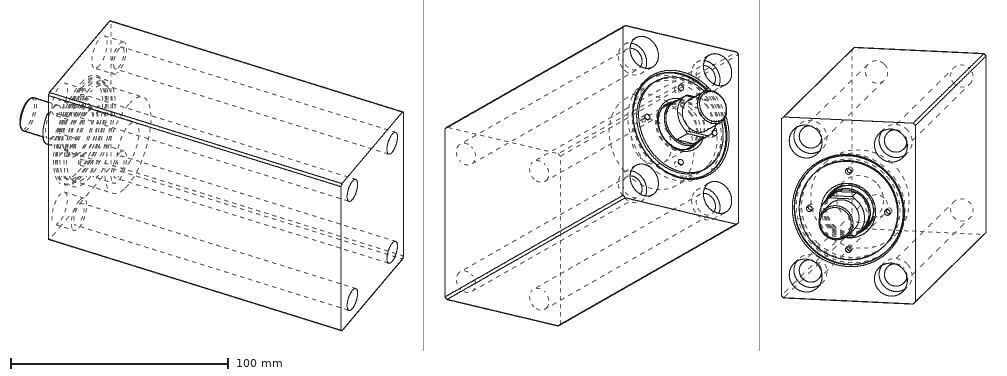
import cadquery as cq
import math

OVERALL_LENGTH = 178.0
BLOCK_WIDTH = 63.0
BLOCK_HEIGHT = 85.0
EDGE_CHAMFER = 1.0

BOLT_SPACING_Y = 40.0
BOLT_SPACING_Z = 63.0
BOLT_HOLE_DIAMETER = 10.5
COUNTERBORE_DIAMETER = 15.5
COUNTERBORE_DEPTH = 10.0

BORE_DIAMETER = 51.3
BORE_CHAMFER = 0.7
GLAND_DIAMETER = 46.3
GLAND_LENGTH = 25.0
RING_RECESS = 1.6
RING_THICKNESS = 3.5

GLAND_ENTRY_DIAMETER = 25.6
GLAND_RELIEF_DIAMETER = 23.1
GLAND_RELIEF_DEPTH = 3.5
GLAND_ENTRY_CHAMFER = (GLAND_ENTRY_DIAMETER - GLAND_RELIEF_DIAMETER) / 2

PIN_HOLE_COUNT = 4
PIN_HOLE_DIAMETER = 2.7
PIN_HOLE_DEPTH = 3.5
PIN_CIRCLE_RADIUS = 18.3
DRILL_POINT_ANGLE = 118.0

STUD_DIAMETER = 16.0
STUD_LENGTH = 13.5
STUD_CHAMFER = 0.7
COLLAR_DIAMETER = 21.2
COLLAR_LENGTH = 10.0
ACROSS_FLATS = 19.0
FLAT_CHAMFER = 0.9
SHANK_DIAMETER = 22.0
SHANK_PROTRUSION = 3.5
SHANK_CHAMFER = 0.5

ROD_PROTRUSION = STUD_LENGTH + COLLAR_LENGTH + SHANK_PROTRUSION
BLOCK_LENGTH = OVERALL_LENGTH - ROD_PROTRUSION


def cylinder(x_start, length, diameter):
    """Solid cylinder on the X axis, running toward +X from x_start."""
    return cq.Workplane("YZ", origin=(x_start, 0, 0)).circle(diameter / 2).extrude(length)


def entry_cone(bore_diameter, chamfer):
    """Cutter for a 45 degree chamfer around a bore that opens at x = 0."""
    mouth = cq.Workplane("YZ").circle(bore_diameter / 2 + chamfer)
    return mouth.workplane(offset=chamfer).circle(bore_diameter / 2).loft()


def make_housing():
    """Block with chamfered long edges, four bolt holes and a stepped front bore."""
    block = (
        cq.Workplane("YZ")
        .rect(BLOCK_WIDTH, BLOCK_HEIGHT)
        .extrude(BLOCK_LENGTH)
        .edges("|X")
        .chamfer(EDGE_CHAMFER)
    )
    bolt_centers = cq.Workplane("YZ").rect(BOLT_SPACING_Y, BOLT_SPACING_Z, forConstruction=True).vertices()
    bolt_holes = bolt_centers.circle(BOLT_HOLE_DIAMETER / 2).extrude(BLOCK_LENGTH)
    counterbores = bolt_centers.circle(COUNTERBORE_DIAMETER / 2).extrude(COUNTERBORE_DEPTH)
    ring_seat = cylinder(0, RING_RECESS + RING_THICKNESS, BORE_DIAMETER)
    gland_seat = cylinder(0, GLAND_LENGTH, GLAND_DIAMETER)
    bore_entry = entry_cone(BORE_DIAMETER, BORE_CHAMFER)
    for cutter in (bolt_holes, counterbores, ring_seat, gland_seat, bore_entry):
        block = block.cut(cutter)
    return block


def make_retaining_ring():
    """Flat ring around the gland, set slightly below the front face."""
    return cylinder(RING_RECESS, RING_THICKNESS, BORE_DIAMETER).cut(
        cylinder(RING_RECESS, RING_THICKNESS, GLAND_DIAMETER)
    )


def pin_hole_cutter():
    """Drilled hole with a conical bottom, its mouth centered on the X axis."""
    radius = PIN_HOLE_DIAMETER / 2
    point_length = radius / math.tan(math.radians(DRILL_POINT_ANGLE / 2))
    profile = [(0, 0), (0, radius), (PIN_HOLE_DEPTH, radius), (PIN_HOLE_DEPTH + point_length, 0)]
    return cq.Workplane("XY").polyline(profile).close().revolve(360, (0, 0), (1, 0))


def make_gland():
    """Gland flush with the front face, with a bore for the rod and a ring of pin holes."""
    gland = cylinder(0, GLAND_LENGTH, GLAND_DIAMETER)
    gland = gland.cut(cylinder(0, GLAND_LENGTH, SHANK_DIAMETER))
    gland = gland.cut(cylinder(0, GLAND_RELIEF_DEPTH, GLAND_RELIEF_DIAMETER))
    gland = gland.cut(entry_cone(GLAND_RELIEF_DIAMETER, GLAND_ENTRY_CHAMFER))
    for i in range(PIN_HOLE_COUNT):
        cutter = pin_hole_cutter().translate((0, PIN_CIRCLE_RADIUS, 0))
        gland = gland.cut(cutter.rotate((0, 0, 0), (1, 0, 0), i * 360 / PIN_HOLE_COUNT))
    return gland


def make_rod():
    """Rod with a shank in the gland, a collar with two wrench flats and an end stud."""
    stud_start = -ROD_PROTRUSION
    collar_start = stud_start + STUD_LENGTH
    shank_start = -SHANK_PROTRUSION
    stud = cylinder(stud_start, STUD_LENGTH, STUD_DIAMETER).faces("<X").chamfer(STUD_CHAMFER)
    flats = (
        cq.Workplane("YZ", origin=(collar_start, 0, 0))
        .rect(COLLAR_DIAMETER, ACROSS_FLATS)
        .extrude(COLLAR_LENGTH)
        .faces("<X")
        .edges("|Y")
        .chamfer(FLAT_CHAMFER)
    )
    collar = cylinder(collar_start, COLLAR_LENGTH, COLLAR_DIAMETER).intersect(flats)
    shank = cylinder(shank_start, SHANK_PROTRUSION + GLAND_LENGTH, SHANK_DIAMETER)
    shank = shank.faces("<X").chamfer(SHANK_CHAMFER)
    return stud.union(collar).union(shank)


housing = make_housing()
retaining_ring = make_retaining_ring()
gland = make_gland()
rod = make_rod()

result = cq.Compound.makeCompound(
    [housing.val(), retaining_ring.val(), gland.val(), rod.val()]
)